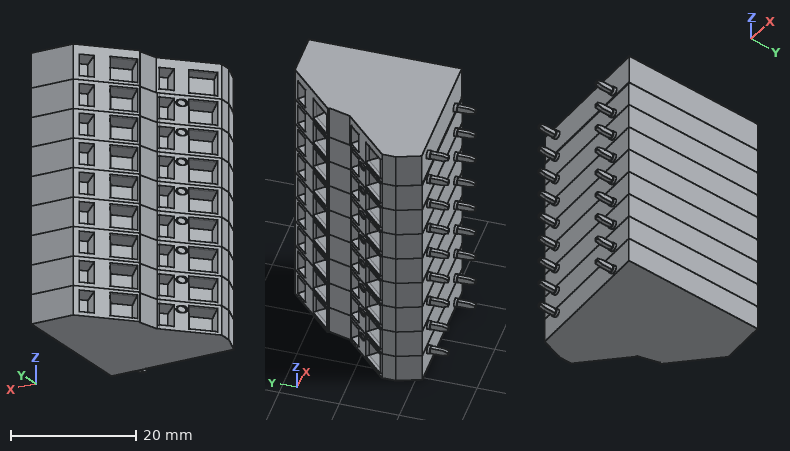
import cadquery as cq
import math

POLES = 9
PITCH = 5.08
END_WALL = 1.0
DEPTH = 24.0
HEIGHT = 25.6
TOP_FACE_START = 16.2
UPPER_SLOPE_DROP = 7.8
LEDGE_UNDER_SLOPE = 0.2
STEP_FOOT_X = 7.65
NOSE_TOP = 6.3
STEP_FOOT_Y = STEP_FOOT_X + NOSE_TOP
NOSE_BOTTOM = 4.0
FOOT_X = 1.4
STEP_FOOT_DROP = 0.18
STEP_FOOT_SHIFT = 0.05
SLOPE_HEAD_DROP = 0.35
END_FOOT_RISE = 0.1

SLOPE_ANGLE = 45.0
SLOPE_RUN = math.sqrt(2)
SLOT_Z = 0.7
SLOT_HEIGHT = 3.7
SLOT_LENGTH = 1.75 * SLOPE_RUN
SLOT_DEPTH = 4.0
UPPER_SLOT_Y = HEIGHT - 0.7
LOWER_SLOT_Y = HEIGHT - 12.0
ENTRY_Z = 0.52
ENTRY_HEIGHT = 4.02
UPPER_ENTRY_Y = HEIGHT - 4.3
LOWER_ENTRY_Y = HEIGHT - 15.45
UPPER_ENTRY_LENGTH = 3.23 * SLOPE_RUN
LOWER_ENTRY_LENGTH = 3.4 * SLOPE_RUN
ENTRY_LIP = 0.6
FUNNEL_DEPTH = 2.8
FUNNEL_ANGLE = 20.0
FUNNEL_BOTTOM_ANGLE = 15.5
FUNNEL_TOP_ANGLE = 9.5
END_LOWER_FUNNEL_DEPTH = 1.8
END_UPPER_FUNNEL_DEPTH = 2.0
END_UPPER_FUNNEL_ANGLE = 5.5
END_UPPER_WELL_DEPTH = 0.9
DIMPLE_DIAMETER = 1.2
DIMPLE_DEPTH = 0.2
DIMPLE_Y = HEIGHT - 14.7
DIMPLE_Z = 3.8

FRONT_PIN_X = 4.63
PIN_SPACING = 3 * PITCH
FRONT_PIN_Z = 0.75 * PITCH
REAR_PIN_Z = 0.25 * PITCH
PIN_ROOT = 0.5
PIN_LENGTH = 3.4
PIN_THICKNESS = 0.7
PIN_WIDTH = 1.05
PIN_TIP_WIDTH = 0.5
PIN_TIP_LENGTH = 0.95
COLLAR_DIAMETER = 1.4
COLLAR_LENGTH = 0.45


def upper_slope_x(y):
    return TOP_FACE_START - (HEIGHT - y)


def lower_slope_x(y):
    return y - NOSE_TOP


def housing_outline(foot_y, step_foot):
    """Side outline standing at `foot_y`; `step_foot` lists the points that join step and lower slope."""
    slope_foot_y = HEIGHT - UPPER_SLOPE_DROP
    slope_foot_x = upper_slope_x(slope_foot_y)
    return [
        (FOOT_X, foot_y),
        (DEPTH, foot_y),
        (DEPTH, HEIGHT),
        (TOP_FACE_START, HEIGHT),
        (slope_foot_x, slope_foot_y),
        (slope_foot_x + LEDGE_UNDER_SLOPE, slope_foot_y - LEDGE_UNDER_SLOPE),
        *step_foot,
        (0, NOSE_TOP),
        (0, NOSE_BOTTOM),
    ]


def on_slope(tool, x, y):
    """Move a tool so its +X runs into the slope and its origin sits at (x, y) on the slope."""
    return tool.rotate((0, 0, 0), (0, 0, 1), -SLOPE_ANGLE).translate((x, y, 0))


def lever_slot():
    """Rectangular slot going in along +X and running down along -Y."""
    slot = cq.Workplane("XY").box(SLOT_DEPTH, SLOT_LENGTH, SLOT_HEIGHT, centered=False)
    return slot.translate((0, -SLOT_LENGTH, SLOT_Z))


def wire_entry(length, funnel_depth, funnel_angle=FUNNEL_ANGLE, well_depth=0.0):
    """Wire funnel along +X: straight lip, narrowing funnel and, if given, a straight well."""
    funnel_end = ENTRY_LIP + funnel_depth
    floor = funnel_end + well_depth
    narrowing = funnel_depth * math.tan(math.radians(funnel_angle))
    outline = [(0, 0), (ENTRY_LIP, 0), (funnel_end, -narrowing)]
    if well_depth > 0:
        outline.append((floor, -narrowing))
    outline += [(floor, -length), (0, -length)]
    plan = cq.Workplane("XY").polyline(outline).close().extrude(PITCH)

    taper_depth = floor - ENTRY_LIP
    bottom_rise = taper_depth * math.tan(math.radians(FUNNEL_BOTTOM_ANGLE))
    top_fall = taper_depth * math.tan(math.radians(FUNNEL_TOP_ANGLE))
    entry_top = ENTRY_Z + ENTRY_HEIGHT
    section = (
        cq.Workplane("XZ")
        .moveTo(0, ENTRY_Z)
        .lineTo(ENTRY_LIP, ENTRY_Z)
        .lineTo(floor, ENTRY_Z + bottom_rise)
        .lineTo(floor, entry_top - top_fall)
        .lineTo(ENTRY_LIP, entry_top)
        .lineTo(0, entry_top)
        .close()
        .extrude(length)
    )
    return plan.intersect(section)


def dimple():
    """Shallow round mark along X whose floor lies parallel to the lower slope."""
    reach = 2 * DIMPLE_DIAMETER
    x = lower_slope_x(DIMPLE_Y)
    bore = (
        cq.Workplane("YZ", origin=(x - reach, 0, 0))
        .center(DIMPLE_Y, DIMPLE_Z)
        .circle(DIMPLE_DIAMETER / 2)
        .extrude(2 * reach)
    )
    floor_slab = cq.Workplane("XY").box(DIMPLE_DEPTH, 2 * reach, PITCH, centered=(False, True, False))
    return bore.intersect(on_slope(floor_slab, x, DIMPLE_Y))


def solder_pin(x, z):
    """Flat pin pointing to -Y with a wedge tip and a round collar under the housing."""
    collar = cq.Workplane("XZ", origin=(x, PIN_ROOT, z))
    collar = collar.circle(COLLAR_DIAMETER / 2).extrude(PIN_ROOT + COLLAR_LENGTH)
    half_width = PIN_WIDTH / 2
    half_tip = PIN_TIP_WIDTH / 2
    shoulder_y = PIN_TIP_LENGTH - PIN_LENGTH
    blade = (
        cq.Workplane("YZ", origin=(x, 0, z))
        .moveTo(0, -half_width)
        .lineTo(shoulder_y, -half_width)
        .lineTo(-PIN_LENGTH, -half_tip)
        .lineTo(-PIN_LENGTH, half_tip)
        .lineTo(shoulder_y, half_width)
        .lineTo(0, half_width)
        .close()
        .extrude(PIN_THICKNESS / 2, both=True)
    )
    return collar.union(blade)


def terminal(width, foot_y, step_foot, upper_entry, lower_entry):
    """Housing block with its lever slots, wire entries and two solder pins."""
    body = cq.Workplane("XY").polyline(housing_outline(foot_y, step_foot)).close().extrude(width)
    body = body.cut(on_slope(lever_slot(), upper_slope_x(UPPER_SLOT_Y), UPPER_SLOT_Y))
    body = body.cut(on_slope(lever_slot(), lower_slope_x(LOWER_SLOT_Y), LOWER_SLOT_Y))
    body = body.cut(on_slope(upper_entry, upper_slope_x(UPPER_ENTRY_Y), UPPER_ENTRY_Y))
    body = body.cut(on_slope(lower_entry, lower_slope_x(LOWER_ENTRY_Y), LOWER_ENTRY_Y))
    body = body.union(solder_pin(FRONT_PIN_X, FRONT_PIN_Z))
    return body.union(solder_pin(FRONT_PIN_X + PIN_SPACING, REAR_PIN_Z))


def pole_module():
    slope_head_y = STEP_FOOT_Y - SLOPE_HEAD_DROP
    step_foot = [
        (STEP_FOOT_X - STEP_FOOT_SHIFT, STEP_FOOT_Y - STEP_FOOT_DROP),
        (lower_slope_x(slope_head_y), slope_head_y),
    ]
    module = terminal(
        PITCH,
        0,
        step_foot,
        wire_entry(UPPER_ENTRY_LENGTH, FUNNEL_DEPTH),
        wire_entry(LOWER_ENTRY_LENGTH, FUNNEL_DEPTH),
    )
    return module.cut(dimple())


def end_module():
    return terminal(
        PITCH + END_WALL,
        END_FOOT_RISE,
        [(STEP_FOOT_X, STEP_FOOT_Y)],
        wire_entry(
            UPPER_ENTRY_LENGTH,
            END_UPPER_FUNNEL_DEPTH,
            END_UPPER_FUNNEL_ANGLE,
            END_UPPER_WELL_DEPTH,
        ),
        wire_entry(LOWER_ENTRY_LENGTH, END_LOWER_FUNNEL_DEPTH),
    )


pole = pole_module()
pole_modules = [pole.translate((0, 0, i * PITCH)) for i in range(POLES - 1)]
closing_module = end_module().translate((0, 0, (POLES - 1) * PITCH))

result = cq.Compound.makeCompound([*[module.val() for module in pole_modules], closing_module.val()])